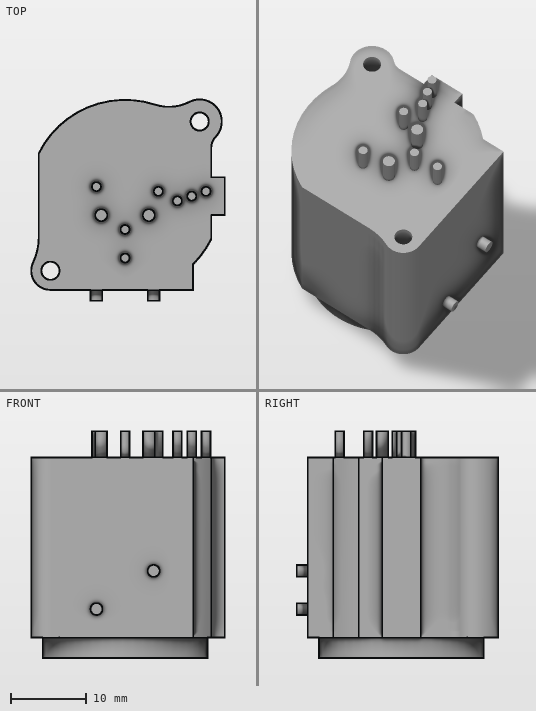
import cadquery as cq
import math

total_height = 30.2
body_height = 24.0
spigot_height = 2.72
pin_length = total_height - body_height - spigot_height

spigot_radius = 11.0
housing_radius = 12.85
side_x = 11.5
front_y = -12.5
corner_x = 9.05
tab_x = 13.3
tab_half_width = 2.55

lobe_offset = 9.95
upper_lobe = (lobe_offset, lobe_offset)
lower_lobe = (-lobe_offset, -lobe_offset)
upper_lobe_radius = 2.95
lower_lobe_radius = -front_y - lobe_offset
mount_hole_diameter = 2.4

left_blend_radius = 8.0
right_blend_radius = 2.0
top_blend_radius = 6.0

grid = 0.63
thin_pin_diameter = 1.2
thick_pin_diameter = 1.6
thin_pin_cells = [(-6, 2), (7, 1), (11, -1), (14, 0), (17, 1), (0, -7), (0, -13)]
thick_pin_cells = [(-5, -4), (5, -4)]

peg_diameter = 1.6
peg_length = 1.45
peg_places = [(-6 * grid, 6 * grid), (6 * grid, 14 * grid)]


def toward(start, target, distance):
    """Point at the given distance from start on the ray through target."""
    angle = math.atan2(target[1] - start[1], target[0] - start[0])
    return (start[0] + distance * math.cos(angle), start[1] + distance * math.sin(angle))


def arc_middle(center, first, last, radius):
    """Middle of the shorter arc from first to last."""
    chord_middle = ((first[0] + last[0]) / 2, (first[1] + last[1]) / 2)
    return toward(center, chord_middle, radius)


def side_blend_center(lobe, lobe_radius, blend_radius, side):
    """Center of a blend touching a lobe and the flat at x = side * side_x."""
    x = side * (side_x + blend_radius)
    rise = math.sqrt((lobe_radius + blend_radius) ** 2 - (x - lobe[0]) ** 2)
    return (x, lobe[1] - side * rise)


def top_blend_center():
    """Center of the blend touching the main arc and the upper lobe."""
    from_axis = housing_radius + top_blend_radius
    from_lobe = upper_lobe_radius + top_blend_radius
    lobe_distance = math.hypot(*upper_lobe)
    cosine = (from_axis**2 + lobe_distance**2 - from_lobe**2) / (2 * from_axis * lobe_distance)
    angle = math.atan2(upper_lobe[1], upper_lobe[0]) + math.acos(cosine)
    return (from_axis * math.cos(angle), from_axis * math.sin(angle))


def make_body():
    axis = (0, 0)
    left_center = side_blend_center(lower_lobe, lower_lobe_radius, left_blend_radius, -1)
    right_center = side_blend_center(upper_lobe, upper_lobe_radius, right_blend_radius, 1)
    top_center = top_blend_center()

    side_arc_y = math.sqrt(housing_radius**2 - side_x**2)
    left_arc_end = (-side_x, side_arc_y)
    right_arc_end = (side_x, -side_arc_y)
    corner_arc_end = (corner_x, -math.sqrt(housing_radius**2 - corner_x**2))
    left_flat_end = (-side_x, left_center[1])
    right_flat_end = (side_x, right_center[1])
    left_tangent = toward(lower_lobe, left_center, lower_lobe_radius)
    right_tangent = toward(upper_lobe, right_center, upper_lobe_radius)
    top_tangent = toward(axis, top_center, housing_radius)
    upper_tangent = toward(upper_lobe, top_center, upper_lobe_radius)
    lower_lobe_end = (lower_lobe[0], front_y)

    upper_lobe_tip = toward(upper_lobe, axis, -upper_lobe_radius)
    lower_lobe_tip = toward(lower_lobe, axis, -lower_lobe_radius)

    left_middle = arc_middle(left_center, left_tangent, left_flat_end, left_blend_radius)
    main_middle = arc_middle(axis, left_arc_end, top_tangent, housing_radius)
    top_middle = arc_middle(top_center, top_tangent, upper_tangent, top_blend_radius)
    right_middle = arc_middle(right_center, right_tangent, right_flat_end, right_blend_radius)
    corner_middle = arc_middle(axis, right_arc_end, corner_arc_end, housing_radius)

    outline = (
        cq.Workplane("XY")
        .moveTo(*lower_lobe_end)
        .threePointArc(lower_lobe_tip, left_tangent)
        .threePointArc(left_middle, left_flat_end)
        .lineTo(*left_arc_end)
        .threePointArc(main_middle, top_tangent)
        .threePointArc(top_middle, upper_tangent)
        .threePointArc(upper_lobe_tip, right_tangent)
        .threePointArc(right_middle, right_flat_end)
        .lineTo(side_x, tab_half_width)
        .lineTo(tab_x, tab_half_width)
        .lineTo(tab_x, -tab_half_width)
        .lineTo(side_x, -tab_half_width)
        .lineTo(*right_arc_end)
        .threePointArc(corner_middle, corner_arc_end)
        .lineTo(corner_x, front_y)
        .close()
    )
    return outline.extrude(body_height)


def make_pins(cells, diameter):
    places = [(column * grid, row * grid) for column, row in cells]
    top_plane = cq.Workplane("XY", origin=(0, 0, body_height))
    return top_plane.pushPoints(places).circle(diameter / 2).extrude(pin_length)


def make_pegs():
    front_plane = cq.Workplane("XZ", origin=(0, front_y, 0))
    return front_plane.pushPoints(peg_places).circle(peg_diameter / 2).extrude(peg_length)


spigot = cq.Workplane("XY").circle(spigot_radius).extrude(-spigot_height)
mount_holes = (
    cq.Workplane("XY", origin=(0, 0, -spigot_height))
    .pushPoints([upper_lobe, lower_lobe])
    .circle(mount_hole_diameter / 2)
    .extrude(spigot_height + body_height)
)

result = (
    make_body()
    .union(spigot)
    .cut(mount_holes)
    .union(make_pins(thin_pin_cells, thin_pin_diameter))
    .union(make_pins(thick_pin_cells, thick_pin_diameter))
    .union(make_pegs())
)